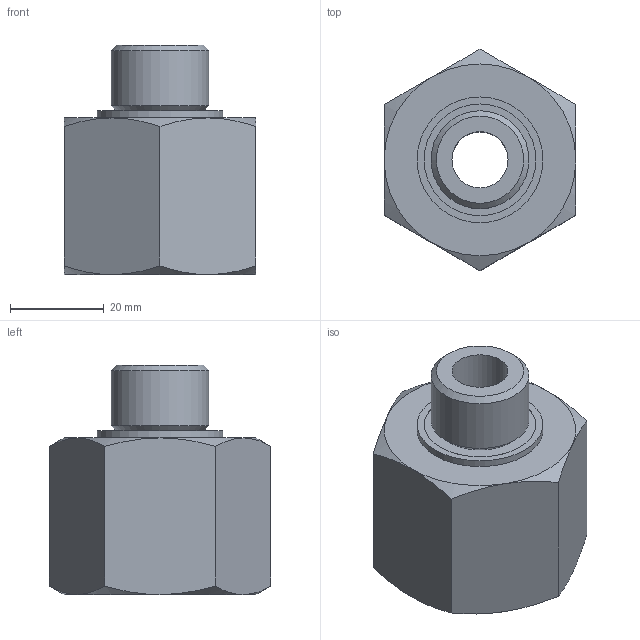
import cadquery as cq
import math

across_flats = 41.0
across_corners = across_flats / math.cos(math.radians(30))
hex_height = 33.5
hex_chamfer_angle = 30.0

collar_diameter = 26.9
collar_height = 1.5
recess_diameter = 23.9
recess_depth = 0.1

total_height = 49.0
thread_diameter = 20.95
tip_diameter = 18.63
neck_diameter = 18.5

bore_diameter = 12.0

recess_floor = hex_height + collar_height - recess_depth
thread_bottom = recess_floor + (thread_diameter - neck_diameter) / 2
thread_top = total_height - (thread_diameter - tip_diameter) / 2


def make_cylinder(diameter, bottom, height):
    """Upright cylinder on the Z axis."""
    return cq.Workplane("XY").workplane(offset=bottom).circle(diameter / 2).extrude(height)


def revolve_profile(points):
    """Revolve a closed (radius, height) outline about the Z axis."""
    return cq.Workplane("XZ").polyline(points).close().revolve(360, (0, 0, 0), (0, 1, 0))


def make_hex_body():
    """Hexagonal prism with its corners turned off conically at both ends."""
    corner_turn = 30
    prism = cq.Workplane("XY").polygon(6, across_corners).extrude(hex_height)
    prism = prism.rotate((0, 0, 0), (0, 0, 1), corner_turn)

    face_radius = across_flats / 2
    outer_radius = across_corners
    cone_drop = (outer_radius - face_radius) * math.tan(math.radians(hex_chamfer_angle))
    turned_envelope = revolve_profile([
        (0, 0),
        (face_radius, 0),
        (outer_radius, cone_drop),
        (outer_radius, hex_height - cone_drop),
        (face_radius, hex_height),
        (0, hex_height),
    ])
    return prism.intersect(turned_envelope)


def make_collar():
    """Flat collar with a shallow round recess in its top face."""
    collar = make_cylinder(collar_diameter, hex_height, collar_height)
    recess = make_cylinder(recess_diameter, recess_floor, recess_depth)
    return collar.cut(recess)


def make_spigot():
    """Thread blank with a chamfered tip and a conical run-out ending at the recess floor."""
    neck_radius = neck_diameter / 2
    thread_radius = thread_diameter / 2
    tip_radius = tip_diameter / 2
    return revolve_profile([
        (0, hex_height),
        (neck_radius, hex_height),
        (neck_radius, recess_floor),
        (thread_radius, thread_bottom),
        (thread_radius, thread_top),
        (tip_radius, total_height),
        (0, total_height),
    ])


bore = make_cylinder(bore_diameter, 0, total_height)

result = make_hex_body().union(make_collar()).union(make_spigot()).cut(bore)